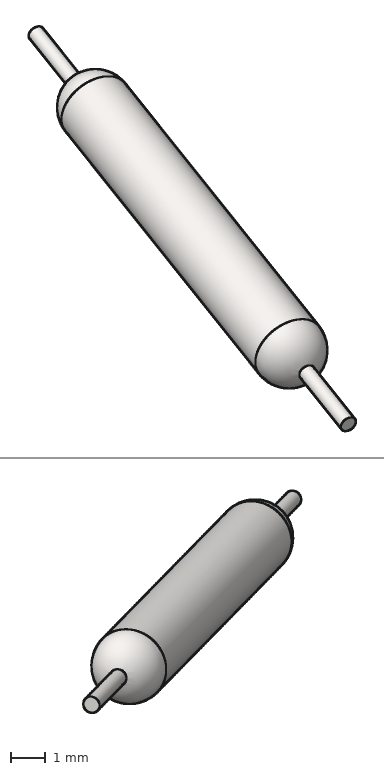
import cadquery as cq

overall_length = 19.0
tube_diameter = 2.2
lead_diameter = 0.5
capsule_length = 14.0

tube_radius = tube_diameter / 2
lead_radius = lead_diameter / 2
tube_length = capsule_length - tube_diameter
tube_end = tube_length / 2
lead_length = (overall_length - tube_length) / 2


def make_tube():
    """Straight cylinder centred on the origin."""
    return cq.Workplane("YZ").workplane(offset=-tube_end).circle(tube_radius).extrude(tube_length)


def make_lead(side):
    """Round wire from the tube face out to the tip; side is -1 or +1 along X."""
    return (
        cq.Workplane("YZ")
        .workplane(offset=side * tube_end)
        .circle(lead_radius)
        .extrude(side * lead_length)
    )


def make_cap(side):
    """Hemisphere on the tube face, bored through for its lead."""
    ball = cq.Workplane("XY").sphere(tube_radius).translate((side * tube_end, 0, 0))
    return ball.cut(make_tube()).cut(make_lead(side))


tube = make_tube()
caps = [make_cap(side) for side in (-1, 1)]
leads = [make_lead(side) for side in (-1, 1)]

result = cq.Compound.makeCompound(
    [tube.val(), *[body.val() for body in caps + leads]]
)